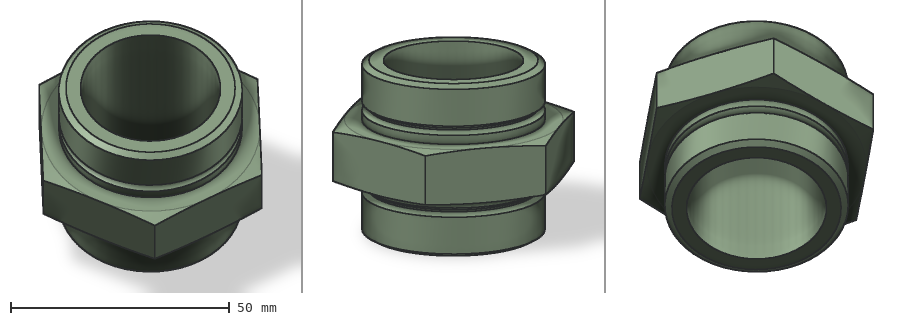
import cadquery as cq
import math

across_corners = 57.75
across_flats = across_corners * math.cos(math.pi / 6)
total_height = 41.0
hex_height = 13.0
body_diameter = 41.9
bore_diameter = 32.0

end_chamfer_radial = 1.6
end_chamfer_height = 0.9

groove_depth = 1.5
groove_side_height = 0.85
groove_floor_height = 0.45
collar_height = 2.15

corner_chamfer_angle = math.radians(10)
cone_reach = 1.5


def revolve_profile(points):
    """Revolve (radius, z) points about the Z axis."""
    return cq.Workplane("XZ").polyline(points).close().revolve(360, (0, 0, 0), (0, 1, 0))


def make_hexagon():
    """Hexagon centred on the origin, trimmed by a cone at both faces."""
    prism = (
        cq.Workplane("XY")
        .polygon(6, across_corners)
        .extrude(hex_height / 2, both=True)
    )
    flat_radius = across_flats / 2
    half_height = hex_height / 2
    cone_width = cone_reach * (across_corners / 2 - flat_radius)
    outer_radius = flat_radius + cone_width
    outer_z = half_height - cone_width * math.tan(corner_chamfer_angle)
    trimming_body = revolve_profile([
        (0, -half_height),
        (flat_radius, -half_height),
        (outer_radius, -outer_z),
        (outer_radius, outer_z),
        (flat_radius, half_height),
        (0, half_height),
    ])
    return prism.intersect(trimming_body)


def make_upper_body():
    """Grooved and chamfered cylinder from the middle plane to the top end."""
    radius = body_diameter / 2
    groove_radius = radius - groove_depth
    top = total_height / 2
    groove_start = hex_height / 2 + collar_height
    floor_start = groove_start + groove_side_height
    floor_end = floor_start + groove_floor_height
    groove_end = floor_end + groove_side_height
    return revolve_profile([
        (0, 0),
        (radius, 0),
        (radius, groove_start),
        (groove_radius, floor_start),
        (groove_radius, floor_end),
        (radius, groove_end),
        (radius, top - end_chamfer_height),
        (radius - end_chamfer_radial, top),
        (0, top),
    ])


upper_body = make_upper_body()
lower_body = upper_body.mirror("XY")
bore = cq.Workplane("XY").cylinder(total_height, bore_diameter / 2)

result = make_hexagon().union(upper_body).union(lower_body).cut(bore)